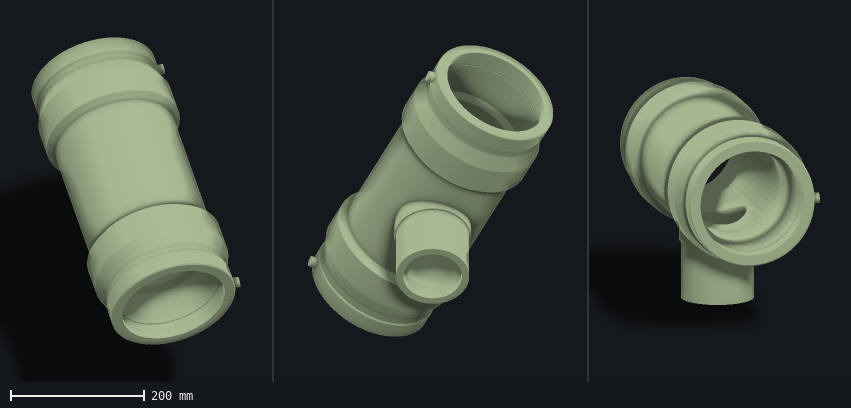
import cadquery as cq

length = 440.0
overall_width = 210.0
overall_height = 297.0
half_length = length / 2
body_radius = 187.0 / 2
bulge_radius = 208.0 / 2
neck_radius = 189.5 / 2
collar_radius = 193.5 / 2
collar_chamfer = 1.8

collar_end = 26.0
neck_start = 28.5
neck_end = 39.5
bulge_start = 65.0
bulge_end = 109.5
body_start = 119.2

run_bore_radius = 144.0 / 2
socket_radius = 160.0 / 2
socket_depth = 85.5
taper_length = socket_radius - run_bore_radius
seam_depth = 1.0

branch_diameter = 110.0
branch_bore = 88.0
branch_bottom = bulge_radius - overall_height
branch_collar_diameter = 115.5
branch_collar_bottom = -104.5

pin_diameter = 16.0
pin_tip = overall_width - bulge_radius
pin_root = (socket_radius + collar_radius) / 2
pin_inset = 14.0


def revolve_symmetric(profile):
    """Revolve (distance from end, radius) points about X, mirrored about the middle."""
    left = [(inset - half_length, radius) for inset, radius in profile]
    right = [(-x, radius) for x, radius in reversed(left)]
    outline = [(-half_length, 0), *left, *right, (half_length, 0)]
    return cq.Workplane("XY").polyline(outline).close().revolve(360, (0, 0, 0), (1, 0, 0))


def vertical_cylinder(diameter, bottom):
    """Cylinder on the Z axis from the given height up to the run axis."""
    return cq.Workplane("XY").workplane(offset=bottom).circle(diameter / 2).extrude(-bottom)


def terminal_pin(x):
    """Solid pin along +Y, rooted inside the collar wall."""
    circle = cq.Workplane("XZ", origin=(x, pin_root, 0)).circle(pin_diameter / 2)
    return circle.extrude(pin_root - pin_tip)


outer = revolve_symmetric([
    (0, collar_radius - collar_chamfer),
    (collar_chamfer, collar_radius),
    (collar_end, collar_radius),
    (neck_start, neck_radius),
    (neck_end, neck_radius),
    (bulge_start, bulge_radius),
    (bulge_end, bulge_radius),
    (body_start, body_radius),
])
outer = outer.union(vertical_cylinder(branch_collar_diameter, branch_collar_bottom))
outer = outer.union(vertical_cylinder(branch_diameter, branch_bottom))

for x in (-half_length + pin_inset, half_length - pin_inset):
    outer = outer.union(terminal_pin(x))

bore = revolve_symmetric([
    (0, socket_radius),
    (collar_end, socket_radius),
    (collar_end, socket_radius + seam_depth),
    (neck_start, socket_radius + seam_depth),
    (neck_start, socket_radius),
    (socket_depth, socket_radius),
    (socket_depth + taper_length, run_bore_radius),
])
result = outer.cut(bore).cut(vertical_cylinder(branch_bore, branch_bottom))